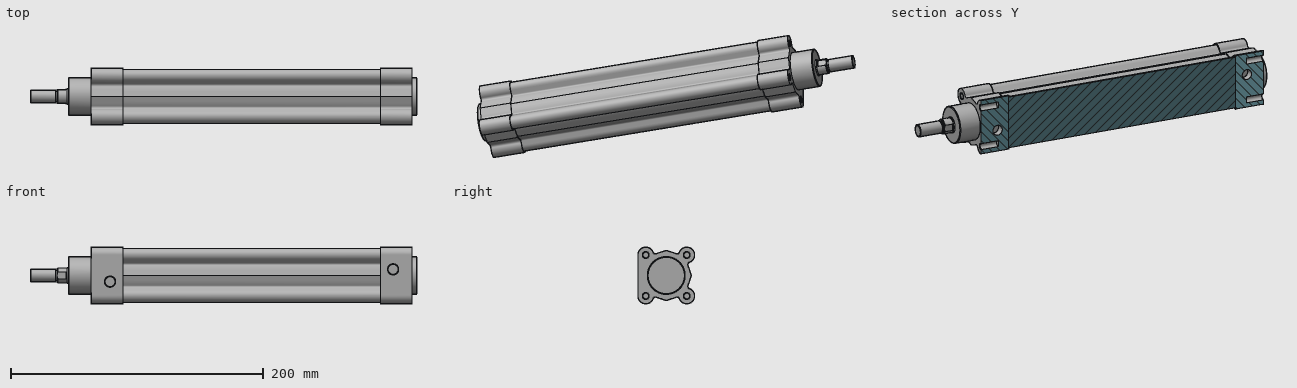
import cadquery as cq
import math

total_length = 306.0
thread_length = 20.0
relief_end = 21.0
front_collar_start = 30.0
head_start = 48.0
head_length = 25.0
rear_collar_length = 4.0
tube_start = head_start + head_length
rear_end = total_length - rear_collar_length
tube_end = rear_end - head_length

head_width = 45.0
head_half_width = head_width / 2
bolt_offset = 16.2
head_lobe_radius = head_half_width - bolt_offset
head_arc_radius = 19.0
head_crest_half_width = 5.8
head_arc_half_width = 7.5
collar_diameter = 30.0
collar_chamfer = 0.5
lip_length = 1.0
lip_base_diameter = 13.2
lip_tip_diameter = 12.2
bolt_hole_diameter = 4.5
bolt_hole_depth = 15.3
bolt_hole_chamfer = 0.45
port_diameter = 8.0
port_chamfer = 0.45
port_depth = 12.2
port_drop = 5.0
port_from_tube = 10.0

tube_half_width = 21.5
tube_lobe_radius = tube_half_width - bolt_offset
tube_arc_radius = 18.5
tube_crest_half_width = 4.3
tube_arc_half_width = 8.0
tube_root_radius = 1.5

rod_diameter = 12.0
thread_diameter = 10.0
relief_diameter = 8.5
rod_chamfer = 0.5
flats_width = 10.7
flats_end = 28.0
tip_chamfer_length = 0.3
tip_chamfer_depth = 1.0


def section_plane(x):
    """Plane across the axis at x, with local coordinates (Y, Z) and normal +X."""
    return cq.Workplane("YZ", origin=(x, 0, 0))


def polar(center, radius, angle):
    """Point at a radius and an angle (radians) from a center."""
    return center[0] + radius * math.cos(angle), center[1] + radius * math.sin(angle)


def turned(point, quarters):
    """Turn a (Y, Z) point about the axis by a number of quarter turns."""
    y, z = point
    for _ in range(quarters):
        y, z = -z, y
    return y, z


def touching_root_radius(lobe_radius, arc_radius, arc_angle):
    """Radius of the root fillet that leaves the ridge arc at arc_angle and runs straight into the lobe."""
    lobe_reach = bolt_offset * (math.cos(arc_angle) + math.sin(arc_angle))
    gap_squared = arc_radius**2 - 2 * arc_radius * lobe_reach + 2 * bolt_offset**2 - lobe_radius**2
    return gap_squared / (2 * (lobe_radius - arc_radius + lobe_reach))


def ridged_bar(x, length, lobe_radius, arc_radius, crest_half_width, arc_half_width, root_radius=None):
    """Bar along X with a low ridge on each of its four sides and a round lobe at each corner.

    From its crest a ridge falls in a straight slope, follows an arc about the axis, then a
    concave root fillet. A given root radius leaves a straight flank between fillet and lobe;
    without one the fillet is sized to touch the lobe.
    """
    axis = (0, 0)
    lobe = (bolt_offset, bolt_offset)
    slope_angle = math.acos(crest_half_width / arc_radius)
    arc_angle = math.acos(arc_half_width / arc_radius)
    has_flank = root_radius is not None
    if not has_flank:
        root_radius = touching_root_radius(lobe_radius, arc_radius, arc_angle)
    root = polar(axis, arc_radius + root_radius, arc_angle)

    flank_angle = math.atan2(lobe[1] - root[1], lobe[0] - root[0])
    if has_flank:
        flank_angle -= math.acos((root_radius + lobe_radius) / math.dist(root, lobe))
    root_mid_angle = (arc_angle - math.pi + flank_angle) / 2

    crest = (0, arc_radius / math.sin(slope_angle))
    slope_end = polar(axis, arc_radius, slope_angle)
    arc_mid = polar(axis, arc_radius, (slope_angle + arc_angle) / 2)
    arc_end = polar(axis, arc_radius, arc_angle)
    root_mid = polar(root, root_radius, root_mid_angle)
    root_end = polar(root, root_radius, flank_angle)
    flank_end = polar(lobe, lobe_radius, flank_angle + math.pi) if has_flank else root_end
    lobe_mid = polar(lobe, lobe_radius, math.pi / 4)

    profile = section_plane(x).moveTo(*crest)
    for quarters in (0, 3, 2, 1):
        def place(point):
            return turned(point, quarters)

        def place_mirrored(point):
            return turned(point[::-1], quarters)

        profile = profile.lineTo(*place(slope_end))
        profile = profile.threePointArc(place(arc_mid), place(arc_end))
        profile = profile.threePointArc(place(root_mid), place(root_end))
        if has_flank:
            profile = profile.lineTo(*place(flank_end))
        profile = profile.threePointArc(place(lobe_mid), place_mirrored(flank_end))
        if has_flank:
            profile = profile.lineTo(*place_mirrored(root_end))
        profile = profile.threePointArc(place_mirrored(root_mid), place_mirrored(arc_end))
        profile = profile.threePointArc(place_mirrored(arc_mid), place_mirrored(slope_end))
        profile = profile.lineTo(*place_mirrored(crest))
    return profile.close().extrude(length)


def chamfered_hole(diameter, depth, chamfer):
    """Cutter for a blind hole that starts at the origin and runs along +X."""
    radius = diameter / 2
    outline = [(0, 0), (0, radius + chamfer), (chamfer, radius), (depth, radius), (depth, 0)]
    return cq.Workplane("XY").polyline(outline).close().revolve(360, (0, 0), (1, 0))


def make_head(x, port_x, port_z):
    """Head block with a flat port face on -Y."""
    block = ridged_bar(
        x, head_length, head_lobe_radius,
        head_arc_radius, head_crest_half_width, head_arc_half_width,
    )
    port_face_block = (
        section_plane(x)
        .center(-head_half_width / 2, 0)
        .rect(head_half_width, 2 * bolt_offset)
        .extrude(head_length)
    )
    port = (
        chamfered_hole(port_diameter, port_depth, port_chamfer)
        .rotate((0, 0, 0), (0, 0, 1), 90)
        .translate((port_x, -head_half_width, port_z))
    )
    return block.union(port_face_block).cut(port)


def cut_bolt_holes(head, face_x, heading):
    """Cut the corner holes into a head from face_x; heading turns them about Z from +X."""
    hole = chamfered_hole(bolt_hole_diameter, bolt_hole_depth, bolt_hole_chamfer)
    hole = hole.rotate((0, 0, 0), (0, 0, 1), heading)
    for y in (-bolt_offset, bolt_offset):
        for z in (-bolt_offset, bolt_offset):
            head = head.cut(hole.translate((face_x, y, z)))
    return head


def make_front_head():
    collar = (
        section_plane(front_collar_start)
        .circle(collar_diameter / 2)
        .extrude(head_start - front_collar_start)
        .faces("<X").chamfer(collar_chamfer)
    )
    lip = (
        section_plane(front_collar_start - lip_length)
        .circle(lip_tip_diameter / 2)
        .workplane(offset=lip_length)
        .circle(lip_base_diameter / 2)
        .loft()
    )
    rod_bore = section_plane(0).circle(rod_diameter / 2).extrude(tube_start)
    head = make_head(head_start, tube_start - port_from_tube, -port_drop)
    head = head.union(collar).union(lip).cut(rod_bore)
    return cut_bolt_holes(head, head_start, heading=0)


def make_rear_head():
    collar = (
        section_plane(rear_end)
        .circle(collar_diameter / 2)
        .extrude(rear_collar_length)
        .faces(">X").chamfer(collar_chamfer)
    )
    head = make_head(tube_end, tube_end + port_from_tube, port_drop)
    return cut_bolt_holes(head.union(collar), rear_end, heading=180)


def make_tube():
    return ridged_bar(
        tube_start, tube_end - tube_start, tube_lobe_radius,
        tube_arc_radius, tube_crest_half_width, tube_arc_half_width, tube_root_radius,
    )


def make_rod():
    """Threaded end, relief groove and shank with two wrench flats facing -Y and +Y."""
    thread_radius = thread_diameter / 2
    rod_radius = rod_diameter / 2
    turned_outline = [
        (0, 0),
        (0, thread_radius - tip_chamfer_depth),
        (tip_chamfer_length, thread_radius),
        (thread_length, thread_radius),
        (thread_length, relief_diameter / 2),
        (relief_end, relief_diameter / 2),
        (relief_end, rod_radius - rod_chamfer),
        (relief_end + rod_chamfer, rod_radius),
        (tube_start, rod_radius),
        (tube_start, 0),
    ]
    rod_body = cq.Workplane("XY").polyline(turned_outline).close().revolve(360, (0, 0), (1, 0))
    flats_length = flats_end - relief_end
    slab = section_plane(relief_end).rect(2 * rod_diameter, 2 * rod_diameter).extrude(flats_length)
    kept = section_plane(relief_end).rect(flats_width, 2 * rod_diameter).extrude(flats_length)
    return rod_body.cut(slab.cut(kept))


rod = make_rod()
front_head = make_front_head()
tube = make_tube()
rear_head = make_rear_head()

result = cq.Compound.makeCompound([rod.val(), front_head.val(), tube.val(), rear_head.val()])